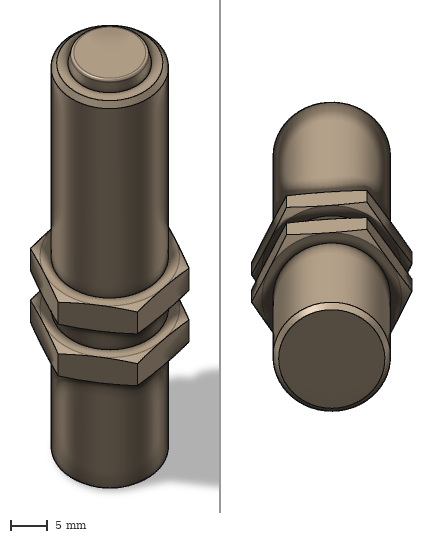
import cadquery as cq
import math

total_length = 77.0
barrel_diameter = 16.0
bottom_diameter = 14.5
bottom_chamfer_height = 0.85
shoulder_diameter = 14.5
shoulder_chamfer_height = 0.8
nose_height = 2.0
nose_base_diameter = 11.4
nose_tip_diameter = 10.55
nose_edge_radius = 0.5

nut_across_flats = 19.0
nut_thickness = 5.0
nut_corner_drop = 0.4
lower_nut_base = 22.55
nut_pitch = 10.0
nut_count = 2

shoulder_z = total_length - nose_height
nut_across_corners = nut_across_flats / math.cos(math.radians(30))


def make_barrel():
    """Chamfered round barrel and its nose, turned about the Z axis, with a rounded nose edge."""
    return (
        cq.Workplane("XZ")
        .moveTo(0, 0)
        .lineTo(bottom_diameter / 2, 0)
        .lineTo(barrel_diameter / 2, bottom_chamfer_height)
        .lineTo(barrel_diameter / 2, shoulder_z - shoulder_chamfer_height)
        .lineTo(shoulder_diameter / 2, shoulder_z)
        .lineTo(nose_base_diameter / 2, shoulder_z)
        .lineTo(nose_tip_diameter / 2, total_length)
        .lineTo(0, total_length)
        .close()
        .revolve(360, (0, 0), (0, 1))
        .faces(">Z")
        .edges()
        .fillet(nose_edge_radius)
    )


def make_nut(base_z):
    """Hexagonal nut with corners along Y, conical corner chamfers and a plain bore."""
    hexagon = (
        cq.Workplane("XY")
        .polygon(6, nut_across_corners)
        .extrude(nut_thickness)
        .rotate((0, 0, 0), (0, 0, 1), 90)
    )
    envelope = (
        cq.Workplane("XZ")
        .moveTo(barrel_diameter / 2, 0)
        .lineTo(nut_across_flats / 2, 0)
        .lineTo(nut_across_corners / 2, nut_corner_drop)
        .lineTo(nut_across_corners / 2, nut_thickness - nut_corner_drop)
        .lineTo(nut_across_flats / 2, nut_thickness)
        .lineTo(barrel_diameter / 2, nut_thickness)
        .close()
        .revolve(360, (0, 0), (0, 1))
    )
    return hexagon.intersect(envelope).translate((0, 0, base_z))


barrel = make_barrel()
nuts = [make_nut(lower_nut_base + i * nut_pitch) for i in range(nut_count)]

result = cq.Compound.makeCompound([barrel.val(), *[nut.val() for nut in nuts]])